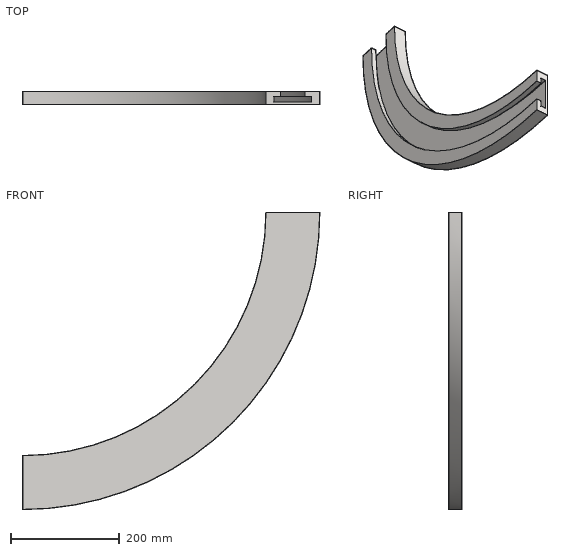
import cadquery as cq

outer_radius = 550.0
rail_width = 100.0
thickness = 25.0
bend_angle = 90.0

slot_width = 70.0
mouth_width = 45.0
floor_thickness = 5.0
slot_depth = 10.0

mean_radius = outer_radius - rail_width / 2
front_y = -thickness / 2
back_y = thickness / 2
slot_floor_y = front_y + floor_thickness
lip_y = slot_floor_y + slot_depth


def curved_bar(width, y_start, y_end):
    """Sweep a rectangle centred on the mean radius around the bend axis."""
    section = (
        cq.Workplane("YZ")
        .center((y_start + y_end) / 2, -mean_radius)
        .rect(y_end - y_start, width)
    )
    axis_start = (-(y_start + y_end) / 2, mean_radius)
    axis_end = (axis_start[0] - 5.5, mean_radius)
    return section.revolve(bend_angle, axis_start, axis_end)


rail = curved_bar(rail_width, front_y, back_y)
wide_slot = curved_bar(slot_width, slot_floor_y, lip_y)
slot_mouth = curved_bar(mouth_width, lip_y, back_y)

result = rail.cut(wide_slot).cut(slot_mouth)